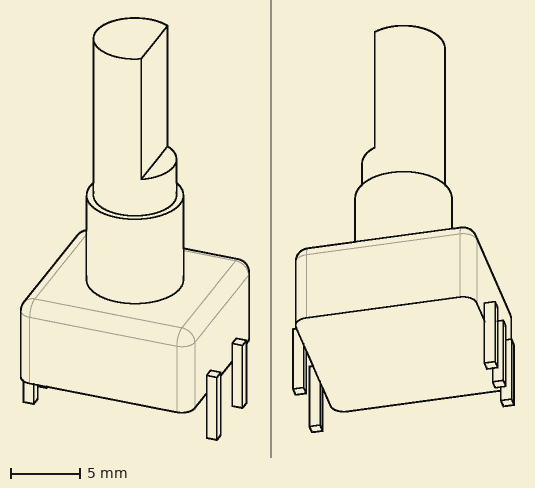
import cadquery as cq

BODY_LENGTH = 13.4
BODY_WIDTH = 12.5
BODY_HEIGHT = 6.5
BODY_ROUNDING = 1.0

BUSHING_DIAMETER = 7.0
BUSHING_HEIGHT = 7.0
SHAFT_DIAMETER = 6.0
SHAFT_LENGTH = 13.0
FLAT_LENGTH = 10.0
FLAT_OFFSET = 1.5

PIN_THICKNESS = 0.8
PIN_WIDTH = 0.8
PIN_TOP = 1.5
PIN_BOTTOM = -3.7
PIN_PITCH = 2.5
LEFT_PIN_POSITIONS = (-PIN_PITCH, 0, PIN_PITCH)
RIGHT_PIN_POSITIONS = (-PIN_PITCH, PIN_PITCH)

BUSHING_TOP = BODY_HEIGHT + BUSHING_HEIGHT
SHAFT_TOP = BUSHING_TOP + SHAFT_LENGTH


def make_body():
    """Housing with rounded upright and top edges and a sharp base."""
    body = cq.Workplane("XY").box(BODY_LENGTH, BODY_WIDTH, BODY_HEIGHT, centered=(True, True, False))
    return body.edges("|Z or >Z").fillet(BODY_ROUNDING)


def make_bushing():
    """Plain cylinder standing on top of the housing."""
    base = cq.Workplane("XY").workplane(offset=BODY_HEIGHT)
    return base.circle(BUSHING_DIAMETER / 2).extrude(BUSHING_HEIGHT)


def make_shaft():
    """Round shaft with a flat cut along its upper end."""
    base = cq.Workplane("XY").workplane(offset=BUSHING_TOP)
    shaft = base.circle(SHAFT_DIAMETER / 2).extrude(SHAFT_LENGTH)
    flat_cutter = (
        cq.Workplane("XY")
        .box(SHAFT_DIAMETER, SHAFT_DIAMETER, FLAT_LENGTH, centered=(False, True, False))
        .translate((FLAT_OFFSET, 0, SHAFT_TOP - FLAT_LENGTH))
    )
    return shaft.cut(flat_cutter)


def make_pins(side, positions):
    """Row of pins on the -X (side = -1) or +X (side = 1) face."""
    center_x = side * (BODY_LENGTH + PIN_THICKNESS) / 2
    return (
        cq.Workplane("XY")
        .workplane(offset=PIN_BOTTOM)
        .pushPoints([(center_x, y) for y in positions])
        .rect(PIN_THICKNESS, PIN_WIDTH)
        .extrude(PIN_TOP - PIN_BOTTOM)
    )


result = (
    make_body()
    .union(make_bushing())
    .union(make_shaft())
    .union(make_pins(-1, LEFT_PIN_POSITIONS))
    .union(make_pins(1, RIGHT_PIN_POSITIONS))
)